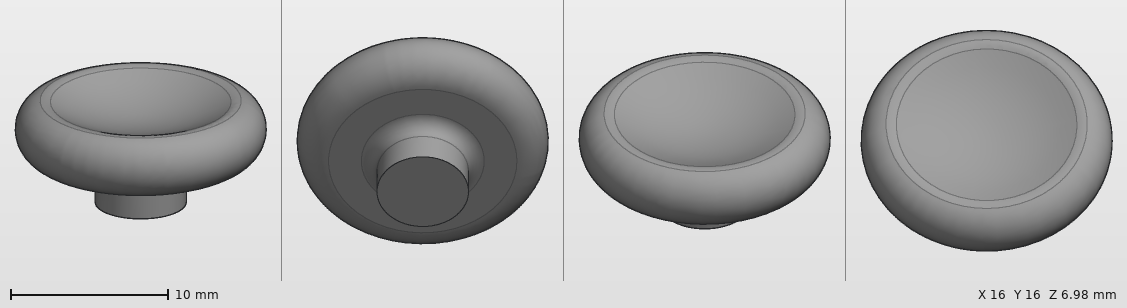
import cadquery as cq
import math

head_diameter = 16.0
head_thickness = 4.0
stem_diameter = 5.83
stem_length = 3.0
stem_fillet_radius = 1.0
dish_depth = 1.5
rim_fillet_radius = 1.0

head_radius = head_diameter / 2
stem_radius = stem_diameter / 2
head_mid_height = stem_length + head_thickness / 2
head_top = stem_length + head_thickness
rim_radius = head_radius - head_thickness / 2
dish_bottom = head_top - dish_depth
dish_radius = (rim_radius**2 + dish_depth**2) / (2 * dish_depth)

dish_mid_radius = rim_radius / 2
dish_mid_height = dish_bottom + dish_radius - math.sqrt(dish_radius**2 - dish_mid_radius**2)


def make_knob():
    """Revolve the half section: stem, half-round rim and spherical finger dish."""
    half_section = (
        cq.Workplane("XZ")
        .lineTo(stem_radius, 0)
        .lineTo(stem_radius, stem_length)
        .lineTo(rim_radius, stem_length)
        .threePointArc((head_radius, head_mid_height), (rim_radius, head_top))
        .threePointArc((dish_mid_radius, dish_mid_height), (0, dish_bottom))
        .close()
    )
    return half_section.revolve(360, (0, 0, 0), (0, 1, 0))


def circle_at(radius, height):
    """Select the circular edge of the given radius, around Z at the given height."""
    margin = 0.01
    reach = radius + margin
    return cq.selectors.BoxSelector(
        (-reach, -reach, height - margin),
        (reach, reach, height + margin),
        boundingbox=True,
    )


def round_edges(knob):
    """Blend the stem into the head and round the sharp lip of the dish."""
    knob = knob.edges(circle_at(stem_radius, stem_length)).fillet(stem_fillet_radius)
    return knob.edges(circle_at(rim_radius, head_top)).fillet(rim_fillet_radius)


result = round_edges(make_knob())